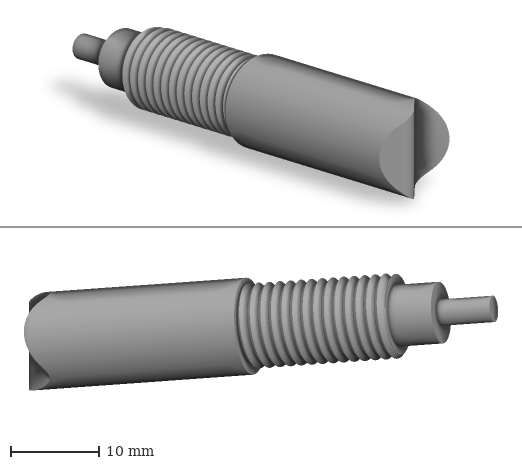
import cadquery as cq
import math

total_length = 56.6
pin_end = 6.35
collar_end = 11.5
thread_end = 29.25

pin_diameter = 3.0
collar_diameter = 7.0
thread_diameter = 9.75
body_diameter = 11.05

thread_turns = 14
thread_depth = 0.5
root_flat = 0.15
ridge_embed = 0.05
crest_flat = 0.05
ridge_offset = 0.85

corner_radius = 1.55
body_radius = body_diameter / 2


def cylinder(start, end, diameter):
    return cq.Workplane("YZ", origin=(start, 0, 0)).circle(diameter / 2).extrude(end - start)


def make_thread():
    """Core cylinder between collar and body with a helical ridge around it."""
    length = thread_end - collar_end
    pitch = length / thread_turns
    crest_radius = thread_diameter / 2
    root_radius = crest_radius - thread_depth
    foot_radius = root_radius - ridge_embed

    root_half_width = (pitch - root_flat) / 2
    flank_slope = (root_half_width - crest_flat / 2) / thread_depth
    foot_half_width = root_half_width + ridge_embed * flank_slope

    helix = cq.Wire.makeHelix(pitch, length + 2 * pitch, root_radius)
    ridge = (
        cq.Workplane("XZ")
        .polyline([
            (foot_radius, -foot_half_width),
            (crest_radius, -crest_flat / 2),
            (crest_radius, crest_flat / 2),
            (foot_radius, foot_half_width),
        ])
        .close()
        .sweep(cq.Workplane(obj=helix), isFrenet=True)
    )
    ridge = ridge.rotate((0, 0, 0), (1, 1, 1), 120)
    ridge = ridge.translate((collar_end + ridge_offset - pitch, 0, 0))

    trim_size = 2 * thread_diameter
    trim = cq.Workplane("YZ", origin=(collar_end, 0, 0)).rect(trim_size, trim_size).extrude(length)
    return cylinder(collar_end, thread_end, 2 * root_radius).union(ridge.intersect(trim))


def make_body():
    """Round body whose end is a zigzag with rounded corners, cut through along Z."""
    half_radius = body_radius / 2
    peak_height = half_radius - corner_radius * (math.sqrt(2) - 1)
    flank_middle = total_length - peak_height
    tangent_run = corner_radius * math.sin(math.radians(45))
    tangent_height = half_radius - tangent_run

    outline = (
        cq.Workplane("XY", origin=(0, 0, -body_radius))
        .moveTo(thread_end, -body_radius)
        .lineTo(flank_middle, -body_radius)
        .lineTo(flank_middle + tangent_height, -half_radius - tangent_run)
        .threePointArc(
            (total_length, -half_radius),
            (flank_middle + tangent_height, -half_radius + tangent_run),
        )
        .lineTo(flank_middle - tangent_height, half_radius - tangent_run)
        .threePointArc(
            (flank_middle - peak_height, half_radius),
            (flank_middle - tangent_height, half_radius + tangent_run),
        )
        .lineTo(flank_middle, body_radius)
        .lineTo(thread_end, body_radius)
        .close()
        .extrude(body_diameter)
    )
    return cylinder(thread_end, total_length, body_diameter).intersect(outline)


pin = cylinder(0, pin_end, pin_diameter)
collar = cylinder(pin_end, collar_end, collar_diameter)
result = pin.union(collar).union(make_thread()).union(make_body())